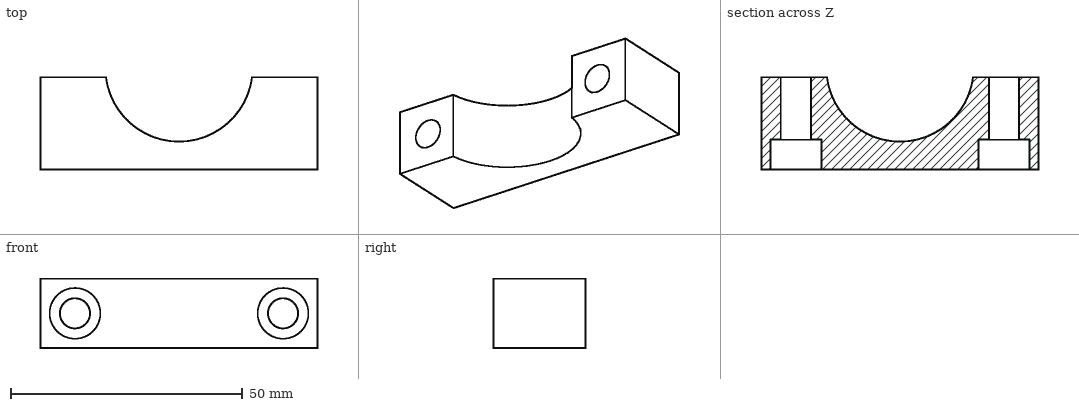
import cadquery as cq

length = 60.0
depth = 20.0
height = 15.0

saddle_diameter = 31.8
saddle_axis_gap = 2.0

hole_spacing = 45.0
hole_diameter = 6.5
counterbore_diameter = 11.0
counterbore_depth = 6.5

block = cq.Workplane("XY").box(length, depth, height, centered=(True, False, True))

saddle = (
    cq.Workplane("XY")
    .center(0, depth + saddle_axis_gap)
    .circle(saddle_diameter / 2)
    .extrude(height / 2, both=True)
)

result = (
    block.cut(saddle)
    .faces("<Y")
    .workplane(origin=(0, 0, 0))
    .pushPoints([(-hole_spacing / 2, 0), (hole_spacing / 2, 0)])
    .cboreHole(hole_diameter, counterbore_diameter, counterbore_depth)
)